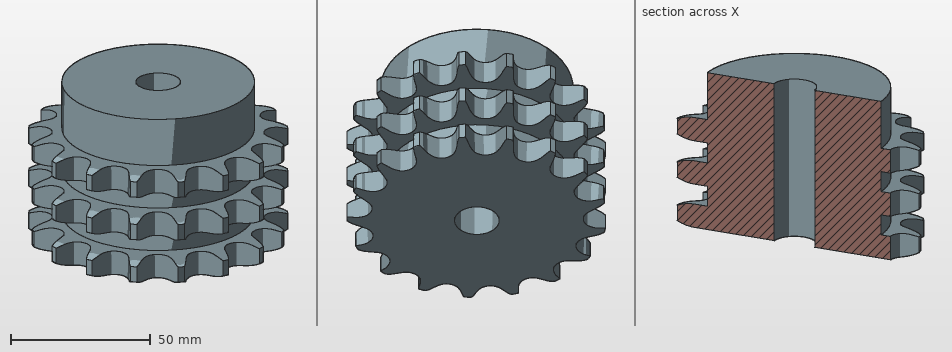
import cadquery as cq
import math


TEETH = 17
CHAIN_PITCH = 15.9
TIP_RADIUS = 46.5
ROLLER_DIAMETER = 10.1
SEAT_RADIUS = 5.1

STRANDS = 3
STRAND_SPACING = 16.5
DISC_THICKNESS = 9.1
BEVEL_DEPTH = 1.6
BEVEL_RADIUS = 16.0

HUB_DIAMETER = 69.0
HUB_HEIGHT = 60.0
BORE_DIAMETER = 16.0

PITCH_ANGLE = 2 * math.pi / TEETH
PITCH_RADIUS = CHAIN_PITCH / (2 * math.sin(PITCH_ANGLE / 2))
ROOT_RADIUS = PITCH_RADIUS - SEAT_RADIUS
FIRST_TOOTH_ANGLE = -math.pi / 2

SEAT_END_ANGLE = math.radians(35 + 60 / TEETH)
WORKING_ANGLE = math.radians(18 - 56 / TEETH)
TOPPING_ANGLE = math.radians(17 - 64 / TEETH)
WORKING_OFFSET = 0.8 * ROLLER_DIAMETER
TOPPING_OFFSET = 1.4 * ROLLER_DIAMETER
WORKING_RADIUS = SEAT_RADIUS + WORKING_OFFSET
TOPPING_RADIUS = (
    WORKING_OFFSET * math.cos(WORKING_ANGLE)
    + TOPPING_OFFSET * math.cos(TOPPING_ANGLE)
    - WORKING_RADIUS
)
STRAIGHT_LENGTH = TOPPING_OFFSET * math.sin(TOPPING_ANGLE) - WORKING_OFFSET * math.sin(WORKING_ANGLE)


def polar(radius, angle, origin=(0, 0)):
    """Point at a radius and angle about an origin."""
    return (origin[0] + radius * math.cos(angle), origin[1] + radius * math.sin(angle))


def direction(start, end):
    """Angle of the line from one point to another."""
    return math.atan2(end[1] - start[1], end[0] - start[0])


def tooth_side():
    """Points along one side of a tooth centred on angle 0, from its seat to its tip."""
    seat_center = polar(PITCH_RADIUS, -PITCH_ANGLE / 2)

    seat_normal = math.pi / 2 + SEAT_END_ANGLE - PITCH_ANGLE / 2
    straight_normal = seat_normal - WORKING_ANGLE

    seat_end = polar(SEAT_RADIUS, seat_normal, seat_center)
    working_center = polar(-WORKING_OFFSET, seat_normal, seat_center)
    working_middle = polar(WORKING_RADIUS, seat_normal - WORKING_ANGLE / 2, working_center)
    working_end = polar(WORKING_RADIUS, straight_normal, working_center)
    straight_end = polar(STRAIGHT_LENGTH, straight_normal - math.pi / 2, working_end)
    topping_center = polar(TOPPING_RADIUS, straight_normal, straight_end)

    center_distance = math.hypot(*topping_center)
    crossing_cosine = (TIP_RADIUS**2 + center_distance**2 - TOPPING_RADIUS**2) / (
        2 * TIP_RADIUS * center_distance
    )
    tip_end = polar(TIP_RADIUS, direction((0, 0), topping_center) - math.acos(crossing_cosine))
    start_angle = direction(topping_center, straight_end)
    end_angle = direction(topping_center, tip_end)
    topping_middle = polar(TOPPING_RADIUS, (start_angle + end_angle) / 2, topping_center)
    return seat_end, working_middle, working_end, straight_end, topping_middle, tip_end


def turned(points, angle):
    """Points turned about the origin."""
    return [polar(math.hypot(x, y), math.atan2(y, x) + angle) for x, y in points]


def tooth_outline():
    """Closed outline of all teeth, drawn counterclockwise."""
    rising_side = tooth_side()
    falling_side = [(x, -y) for x, y in rising_side]

    outline = cq.Workplane("XY").moveTo(*turned(rising_side, FIRST_TOOTH_ANGLE)[0])
    for tooth in range(TEETH):
        angle = FIRST_TOOTH_ANGLE + tooth * PITCH_ANGLE
        rising = turned(rising_side, angle)
        falling = turned(falling_side, angle)
        next_seat_end = turned(rising_side, angle + PITCH_ANGLE)[0]
        outline = (
            outline.threePointArc(rising[1], rising[2])
            .lineTo(*rising[3])
            .threePointArc(rising[4], rising[5])
            .threePointArc(polar(TIP_RADIUS, angle), falling[5])
            .threePointArc(falling[4], falling[3])
            .lineTo(*falling[2])
            .threePointArc(falling[1], falling[0])
            .threePointArc(polar(ROOT_RADIUS, angle + PITCH_ANGLE / 2), next_seat_end)
        )
    return outline.close()


def bevel_envelope():
    """Disc whose rim narrows along an arc on both faces."""
    bevel_length = math.sqrt(BEVEL_RADIUS**2 - (BEVEL_RADIUS - BEVEL_DEPTH) ** 2)
    bevel_start = TIP_RADIUS - bevel_length
    middle_angle = math.asin(bevel_length / BEVEL_RADIUS) / 2
    middle_radius = bevel_start + BEVEL_RADIUS * math.sin(middle_angle)
    middle_drop = BEVEL_RADIUS * (1 - math.cos(middle_angle))
    return (
        cq.Workplane("XZ")
        .lineTo(bevel_start, 0)
        .threePointArc((middle_radius, middle_drop), (TIP_RADIUS, BEVEL_DEPTH))
        .lineTo(TIP_RADIUS, DISC_THICKNESS - BEVEL_DEPTH)
        .threePointArc(
            (middle_radius, DISC_THICKNESS - middle_drop), (bevel_start, DISC_THICKNESS)
        )
        .lineTo(0, DISC_THICKNESS)
        .close()
        .revolve(360, (0, 0, 0), (0, 1, 0))
    )


toothed_disc = tooth_outline().extrude(DISC_THICKNESS).intersect(bevel_envelope())

sprocket = cq.Workplane("XY").circle(HUB_DIAMETER / 2).extrude(HUB_HEIGHT)
for strand in range(STRANDS):
    sprocket = sprocket.union(toothed_disc.translate((0, 0, strand * STRAND_SPACING)))

bore = cq.Workplane("XY").circle(BORE_DIAMETER / 2).extrude(HUB_HEIGHT)
result = sprocket.cut(bore)